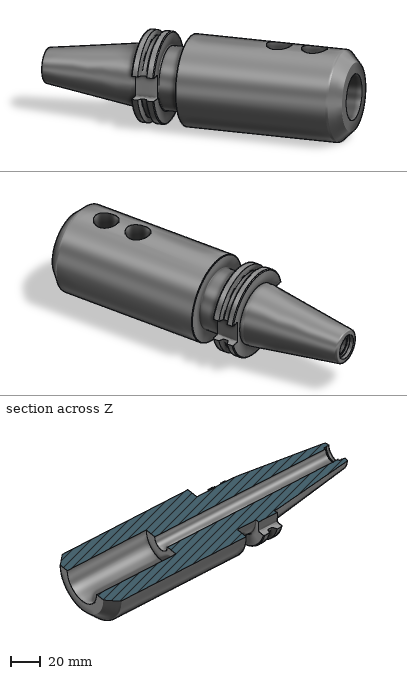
import cadquery as cq

total_length = 220.6
body_diameter = 63.5
gauge_diameter = 44.4
gauge_x = 68.5
taper_ratio = 7 / 24
taper_end_round = 1.8

flange_start = 71.5
flange_end = 87.5
flange_edge_chamfer = 0.7
groove_center = 79.5
groove_root_diameter = 56.7
groove_root_width = 3.5
groove_root_fillet = 0.5
groove_mouth_width = 6.6

slot_width = 16.3
slot_corner_fillet = 0.7
slot_floor_front = 22.5
slot_floor_back = 25.0

body_start = 103.5
neck_fillet = 0.7
body_back_chamfer = 0.5
nose_chamfer = 8.2
nose_round = 2.2
nose_rim_round = 0.5

through_diameter = 13.5
mouth_diameter = 17.5
counterbore_diameter = 16.3
mouth_chamfer_length = 1.3
counterbore_step_diameter = 16.8
counterbore_step_depth = 2.6
counterbore_depth = 4.5
tool_bore_diameter = 31.8
tool_bore_depth = 68.5

screw_diameter = 17.5
screw_positions = (166.8, 192.2)


def revolve_about_x(outline):
    """Revolve (x, radius) points, closed by the axis, into a solid."""
    start_x = outline[0][0]
    end_x = outline[-1][0]
    points = [(start_x, 0)] + outline + [(end_x, 0)]
    return cq.Workplane("XY").polyline(points).close().revolve(360, (0, 0, 0), (1, 0, 0))


def cylinder_along_x(start_x, end_x, diameter):
    return cq.Workplane("YZ", origin=(start_x, 0, 0)).circle(diameter / 2).extrude(end_x - start_x)


def make_taper():
    small_radius = (gauge_diameter - gauge_x * taper_ratio) / 2
    gauge_radius = gauge_diameter / 2
    taper = revolve_about_x([
        (0, small_radius),
        (gauge_x, gauge_radius),
        (flange_start, gauge_radius),
    ])
    return taper.faces("<X").edges().fillet(taper_end_round)


def make_flange():
    flange = cylinder_along_x(flange_start, flange_end, body_diameter)
    flange = flange.faces("<X or >X").edges().chamfer(flange_edge_chamfer)

    outer = body_diameter / 2
    root = groove_root_diameter / 2
    groove = (
        cq.Workplane("XY")
        .polyline([
            (groove_center - groove_mouth_width / 2, outer),
            (groove_center - groove_root_width / 2, root),
            (groove_center + groove_root_width / 2, root),
            (groove_center + groove_mouth_width / 2, outer),
        ])
        .close()
        .revolve(360, (0, 0, 0), (1, 0, 0))
    )
    root_edges = cq.selectors.RadiusNthSelector(0)
    groove = groove.edges(root_edges).fillet(groove_root_fillet)
    flange = flange.cut(groove)

    for side, floor in ((-1, slot_floor_front), (1, slot_floor_back)):
        slot = cq.Workplane("XY").box(flange_end - flange_start, outer, slot_width)
        slot = slot.edges("|X").fillet(slot_corner_fillet)
        slot_center = ((flange_start + flange_end) / 2, side * (floor + outer / 2), 0)
        flange = flange.cut(slot.translate(slot_center))
    return flange


def make_neck_and_body():
    body = cylinder_along_x(body_start, total_length, body_diameter)
    body = body.faces("<X").edges().chamfer(body_back_chamfer)
    body = body.faces(">X").edges().chamfer(nose_chamfer)
    nose_start = cq.selectors.BoxSelector(
        (total_length - nose_chamfer - nose_round, -body_diameter, -body_diameter),
        (total_length - nose_chamfer + nose_round, body_diameter, body_diameter),
        boundingbox=True,
    )
    body = body.edges(nose_start).edges("%CIRCLE").fillet(nose_round)
    body = body.faces(">X").edges().fillet(nose_rim_round)

    neck_radius = gauge_diameter / 2
    flare_radius = neck_radius + neck_fillet
    neck = (
        cq.Workplane("XY")
        .moveTo(flange_end, 0)
        .lineTo(flange_end, flare_radius)
        .radiusArc((flange_end + neck_fillet, neck_radius), -neck_fillet)
        .lineTo(body_start - neck_fillet, neck_radius)
        .radiusArc((body_start, flare_radius), -neck_fillet)
        .lineTo(body_start, 0)
        .close()
        .revolve(360, (0, 0, 0), (1, 0, 0))
    )
    return body.union(neck)


def make_bores():
    counterbore_radius = counterbore_diameter / 2
    step_radius = counterbore_step_diameter / 2
    through_radius = through_diameter / 2
    tool_bore_start = total_length - tool_bore_depth
    bores = revolve_about_x([
        (0, mouth_diameter / 2),
        (mouth_chamfer_length, step_radius),
        (counterbore_step_depth, step_radius),
        (counterbore_step_depth, counterbore_radius),
        (counterbore_depth, counterbore_radius),
        (counterbore_depth, through_radius),
        (tool_bore_start, through_radius),
        (tool_bore_start, tool_bore_diameter / 2),
        (total_length, tool_bore_diameter / 2),
    ])
    for x in screw_positions:
        screw = cq.Workplane("XY", origin=(x, 0, 0)).circle(screw_diameter / 2).extrude(body_diameter)
        bores = bores.union(screw)
    return bores


result = make_taper().union(make_flange()).union(make_neck_and_body()).cut(make_bores())